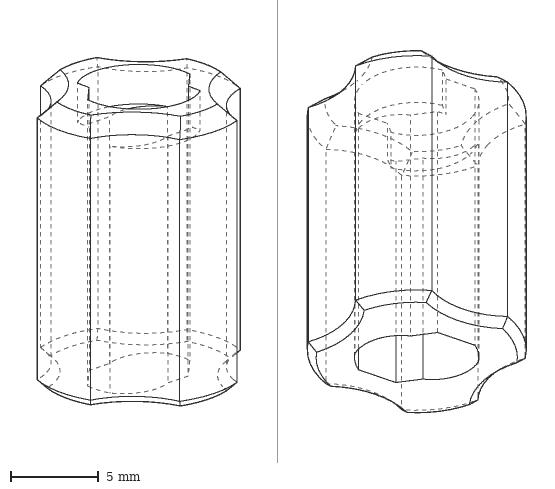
import cadquery as cq
import math

length = 17.5
body_radius = 6.25
flute_radius = 4.99
flute_center_distance = 10.0
flute_count = 4
first_flute_angle = 45.0
top_chamfer = 1.0
bottom_chamfer = 0.5

bore_radius = 3.55
diagonal_distance = 2.84
stop_height = 2.15
recess_depth = 2.42
key_half_width = 2.25
key_arc_radius = 2.8
key_arc_x = -0.3
key_arc_y = -0.98

diagonal_sum = diagonal_distance * math.sqrt(2)


def opposite(point):
    """Return the point turned half a turn about the part axis."""
    return (-point[0], -point[1])


def polar(radius, angle):
    return (radius * math.cos(angle), radius * math.sin(angle))


def half_turn_outline(half):
    """Close an outline from one half and its half-turn copy.

    Each entry is (end, mid): mid is a point on an arc, or None for a straight side.
    The last end of each half is the start of the other half.
    """
    start = opposite(half[-1][0])
    turned = [(opposite(end), mid and opposite(mid)) for end, mid in half]
    outline = cq.Workplane("XY").moveTo(*start)
    for end, mid in half + turned:
        if mid is None:
            outline = outline.lineTo(*end)
        else:
            outline = outline.threePointArc(mid, end)
    return outline.close()


def fluted_body():
    body = cq.Workplane("XY").circle(body_radius).extrude(length)
    flutes = (
        cq.Workplane("XY")
        .polarArray(flute_center_distance, first_flute_angle, 360, flute_count)
        .circle(flute_radius)
        .extrude(length)
    )
    body = body.cut(flutes)
    body = body.faces(">Z").chamfer(top_chamfer)
    return body.faces("<Z").chamfer(bottom_chamfer)


diagonal_end_angle = math.pi / 4 + math.acos(diagonal_distance / bore_radius)
diagonal_end = polar(bore_radius, diagonal_end_angle)


def entry_recess():
    """Round recess narrowed on two opposite sides by a diagonal flat and a stop face."""
    stop_angle = math.asin(stop_height / bore_radius)
    stop_end = polar(bore_radius, stop_angle)
    stop_corner = (diagonal_sum - stop_height, stop_height)
    arc_mid = polar(bore_radius, (diagonal_end_angle - math.pi + stop_angle) / 2)
    outline = half_turn_outline([
        (stop_end, arc_mid),
        (stop_corner, None),
        (diagonal_end, None),
    ])
    return outline.extrude(recess_depth).translate((0, 0, length - recess_depth))


def key_passage():
    """Through passage with diagonal flats, key flats and rounded key sides."""
    center_distance = math.hypot(key_arc_x, key_arc_y)
    center_angle = math.atan2(key_arc_y, key_arc_x)
    crossing_cosine = (bore_radius**2 + center_distance**2 - key_arc_radius**2) / (
        2 * bore_radius * center_distance
    )
    crossing_angle = center_angle + math.acos(crossing_cosine)
    crossing = polar(bore_radius, crossing_angle)
    bore_mid = polar(bore_radius, (diagonal_end_angle - math.pi + crossing_angle) / 2)

    rise = math.sqrt(key_arc_radius**2 - (key_half_width - key_arc_x) ** 2)
    flat_start = (key_half_width, key_arc_y + rise)
    flat_end = (key_half_width, diagonal_sum - key_half_width)
    side_mid = (key_arc_x + key_arc_radius, key_arc_y)
    outline = half_turn_outline([
        (crossing, bore_mid),
        (flat_start, side_mid),
        (flat_end, None),
        (diagonal_end, None),
    ])
    return outline.extrude(length)


result = fluted_body().cut(key_passage()).cut(entry_recess())